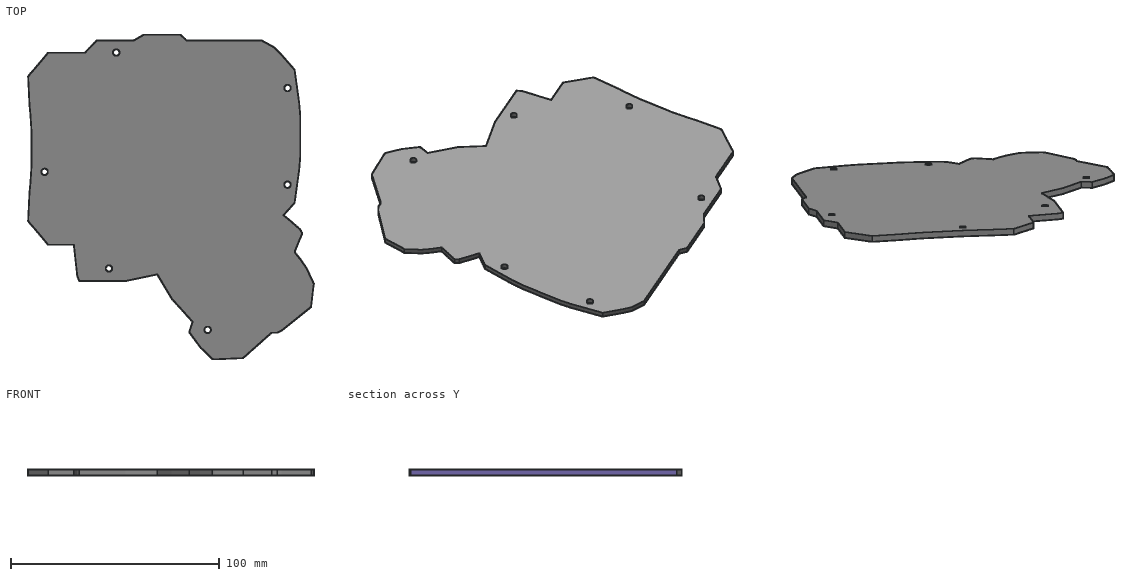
import cadquery as cq

length_x = 137.35
width_y = 155.99
thickness = 3.0
hole_diameter = 3.0

left_x = -length_x / 2
right_x = length_x / 2
back_y = width_y / 2
front_y = -width_y / 2

left_axis_y = 23.2
left_half_height = 46.2
left_end_x = -59.0
right_axis_y = 29.15

left_bottom_y = left_axis_y - left_half_height
left_top_y = left_axis_y + left_half_height
back_step_y = 75.2
foot_y = -40.4
thumb_ledge_y = -65.2

right_hole_x = 55.95
right_hole_offset = 23.2

hole_centers = [
    (-26.3, left_top_y),
    (-60.7, 12.1),
    (-29.8, -34.3),
    (17.6, -63.8),
    (right_hole_x, right_axis_y + right_hole_offset),
    (right_hole_x, right_axis_y - right_hole_offset),
]


def mirrored_side(axis_y, half_side):
    """Points (x, distance from axis), listed outer end first, plus their mirror images."""
    upper = [(x, axis_y + offset) for x, offset in half_side]
    lower = [(x, axis_y - offset) for x, offset in reversed(half_side)]
    return upper + lower


def left_side():
    """Shallow concave left side with sloped corners, from front to back."""
    half_side = [
        (left_end_x, left_half_height),
        (-65.2, 38.8),
        (-68.0, 35.6),
        (left_x, 34.6),
        (-68.0, 20.8),
        (-67.6, 16.9),
        (-67.1, 9.0),
    ]
    return list(reversed(mirrored_side(left_axis_y, half_side)))


def back_edge():
    """Stepped back edge with its raised tab, from left to right."""
    return [
        (-41.3, left_top_y),
        (-35.7, back_step_y),
        (-18.0, back_step_y),
        (-13.1, back_y),
        (4.6, back_y),
        (7.5, back_step_y),
        (43.6, back_step_y),
        (49.6, 71.9),
        (52.6, 68.9),
    ]


def right_side():
    """Bulged right side, from back to front."""
    half_side = [
        (59.4, 31.95),
        (61.6, 16.15),
        (62.1, 10.15),
    ]
    return mirrored_side(right_axis_y, half_side)


def thumb_lobe():
    """Lobe at the front right, clockwise from the notch below the right side."""
    return [
        (54.1, -8.7),
        (57.6, -11.6),
        (62.0, -15.5),
        (63.1, -17.4),
        (59.4, -26.4),
        (62.5, -30.3),
        (65.2, -34.3),
        (right_x, -41.7),
        (68.4, -43.4),
        (67.3, -52.8),
        (53.1, -64.2),
        (51.0, thumb_ledge_y),
        (48.3, thumb_ledge_y),
        (34.6, -77.4),
        (20.8, front_y),
        (19.8, -77.8),
        (14.0, -72.1),
        (8.7, -64.9),
        (10.3, -59.9),
        (0.3, -48.8),
        (-6.6, -37.2),
    ]


def left_foot():
    """Foot below the left side, from right to left."""
    return [
        (-21.9, foot_y),
        (-44.1, foot_y),
        (-45.1, -37.8),
        (-46.7, left_bottom_y),
    ]


def plate():
    outline = left_side() + back_edge() + right_side() + thumb_lobe() + left_foot()
    return cq.Workplane("XY").polyline(outline).close().extrude(thickness)


def through_holes():
    return cq.Workplane("XY").pushPoints(hole_centers).circle(hole_diameter / 2).extrude(thickness)


result = plate().cut(through_holes())